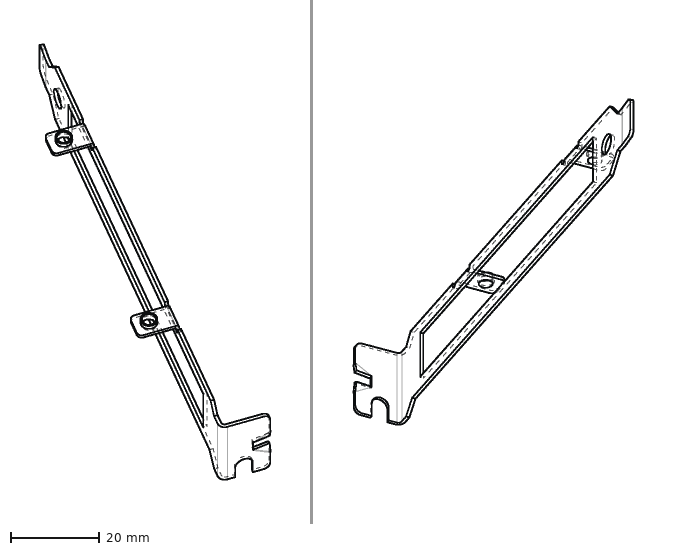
import cadquery as cq
import math

overall_length = 120.9
overall_height = 22.7
sheet = 0.87
mid_height = 12.5

body_height = 18.5
body_bottom = mid_height - body_height / 2
body_top = mid_height + body_height / 2
neck_end = 7.5
shoulder_end = 11.4

tongue_height = 9.9
tongue_length = 5.2
tongue_tilt = 4.0
tongue_bend_radius = 3.6
tongue_corner = 1.3

screw_hole_diameter = 4.7
screw_hole_x = 13.0
window_start = 20.1
window_end = 109.6
window_height = 12.0

flange_height = 18.9
flange_depth = 12.1
flange_corner = 1.7
bend_outer_radius = 1.7
bend_inner_radius = bend_outer_radius - sheet
flange_taper_end = 116.9
lower_taper_start = 113.7
upper_taper_start = 114.6
screw_slot_width = 4.2
screw_slot_y = 5.8
screw_slot_height = 5.5

notch_root = 8.0
notch_z = 9.3
notch_half_width = 1.5
lip_crease_rise = 2.4
lip_angle = 15.0

tab_centers = (31.9, 88.4)
tab_width = 6.2
tab_reach = 9.0
tab_corner = 1.2
relief_width = 1.2
relief_depth = 1.3
boss_y = -5.3
boss_diameter = 3.9
boss_hole_diameter = 3.1
boss_height = overall_height - body_top


def box(x_range, y_range, z_range):
    """Box spanning the given (low, high) pairs."""
    (x0, x1), (y0, y1), (z0, z1) = x_range, y_range, z_range
    return cq.Workplane("XY").box(x1 - x0, y1 - y0, z1 - z0, centered=False).translate((x0, y0, z0))


def make_plate():
    """Flat plate with its shoulders and end tapers, up to the flange bend."""
    half_neck = tongue_height / 2
    outline = [
        (tongue_length, mid_height - half_neck),
        (neck_end, mid_height - half_neck),
        (shoulder_end, body_bottom),
        (lower_taper_start, body_bottom),
        (flange_taper_end, 0),
        (overall_length - bend_outer_radius, 0),
        (overall_length - bend_outer_radius, flange_height),
        (flange_taper_end, flange_height),
        (upper_taper_start, body_top),
        (shoulder_end, body_top),
        (neck_end, mid_height + half_neck),
        (tongue_length, mid_height + half_neck),
    ]
    plate = cq.Workplane("XZ").polyline(outline).close().extrude(-sheet)
    window = box(
        (window_start, window_end),
        (0, sheet),
        (mid_height - window_height / 2, mid_height + window_height / 2),
    )
    hole = (
        cq.Workplane("XZ")
        .center(screw_hole_x, mid_height)
        .circle(screw_hole_diameter / 2)
        .extrude(-sheet)
    )
    return plate.cut(window).cut(hole)


def make_tongue():
    """Tongue that leaves the plate through a gentle bend and ends at X = 0."""
    tilt = math.radians(tongue_tilt)
    center_y = tongue_bend_radius + sheet

    def bend_point(radius, angle):
        return (tongue_length - radius * math.sin(angle), center_y - radius * math.cos(angle))

    outer = center_y
    inner = tongue_bend_radius
    outer_end = bend_point(outer, tilt)
    inner_end = bend_point(inner, tilt)
    straight = outer_end[0] / math.cos(tilt)
    step = (-straight * math.cos(tilt), straight * math.sin(tilt))
    profile = (
        cq.Workplane("XY")
        .moveTo(tongue_length, 0)
        .threePointArc(bend_point(outer, tilt / 2), outer_end)
        .lineTo(outer_end[0] + step[0], outer_end[1] + step[1])
        .lineTo(inner_end[0] + step[0], inner_end[1] + step[1])
        .lineTo(*inner_end)
        .threePointArc(bend_point(inner, tilt / 2), (tongue_length, sheet))
        .close()
    )
    tongue = profile.extrude(tongue_height).translate((0, 0, mid_height - tongue_height / 2))
    return tongue.faces("<X").edges("<Z or >Z").fillet(tongue_corner)


def make_flange():
    """Bend and flange at the end of the plate, with its screw slot and edge notch."""
    bend_x = overall_length - bend_outer_radius
    diagonal = math.sqrt(0.5)
    blank = (
        cq.Workplane("XY")
        .moveTo(bend_x, 0)
        .threePointArc(
            (bend_x + bend_outer_radius * diagonal, bend_outer_radius * (1 - diagonal)),
            (overall_length, bend_outer_radius),
        )
        .lineTo(overall_length, flange_depth)
        .lineTo(overall_length - sheet, flange_depth)
        .lineTo(overall_length - sheet, bend_outer_radius)
        .threePointArc(
            (bend_x + bend_inner_radius * diagonal, bend_outer_radius - bend_inner_radius * diagonal),
            (bend_x, sheet),
        )
        .close()
        .extrude(flange_height)
    )
    blank = blank.faces(">Y").edges("<Z or >Z").fillet(flange_corner)
    face_x = (overall_length - sheet, overall_length)
    slot_radius = screw_slot_width / 2
    slot_arc_z = screw_slot_height - slot_radius
    slot = box(face_x, (screw_slot_y - slot_radius, screw_slot_y + slot_radius), (0, slot_arc_z))
    slot_end = (
        cq.Workplane("YZ", origin=(face_x[0], 0, 0))
        .center(screw_slot_y, slot_arc_z)
        .circle(slot_radius)
        .extrude(sheet)
    )
    crease_end = notch_half_width + lip_crease_rise
    notch = (
        cq.Workplane("YZ", origin=(face_x[0], 0, notch_z))
        .polyline(
            [
                (notch_root, -notch_half_width),
                (notch_root, notch_half_width),
                (flange_depth, crease_end),
                (flange_depth, -crease_end),
            ]
        )
        .close()
        .extrude(sheet)
    )
    flange = blank.cut(slot).cut(slot_end).cut(notch)
    upper_lip = make_upper_lip()
    lower_lip = upper_lip.mirror("XY", (0, 0, notch_z))
    return flange.union(upper_lip).union(lower_lip)


def make_upper_lip():
    """Triangular lip above the notch, bent about its slanted crease towards -X."""
    root_z = notch_z + notch_half_width
    inner_x = overall_length - sheet
    crease_start = cq.Vector(inner_x, notch_root, root_z)
    crease_end = cq.Vector(inner_x, flange_depth, root_z + lip_crease_rise)
    lip = (
        cq.Workplane("YZ", origin=(inner_x, 0, 0))
        .polyline([(notch_root, root_z), (flange_depth, crease_end.z), (flange_depth, root_z)])
        .close()
        .extrude(sheet)
        .rotate(crease_start, crease_end, lip_angle)
    )
    crease = crease_end - crease_start
    crease_plane = cq.Plane(crease_start, xDir=crease, normal=crease.cross(cq.Vector(1, 0, 0)) * -1)
    bend = (
        cq.Workplane(crease_plane)
        .polyline([(0, 0), (crease.Length, 0), (crease.Length, -sheet), (0, -sheet)])
        .close()
        .revolve(lip_angle, (0, 0), (1, 0))
    )
    return lip.union(bend)


def make_tab(center_x):
    """Tab folded forward from the top edge over a rounded bend, carrying a raised ring."""
    underside = body_top - sheet
    diagonal = sheet * math.sqrt(0.5)
    tab = (
        cq.Workplane("YZ", origin=(center_x - tab_width / 2, 0, 0))
        .moveTo(-tab_reach, underside)
        .lineTo(sheet, underside)
        .threePointArc((diagonal, underside + diagonal), (0, body_top))
        .lineTo(-tab_reach, body_top)
        .close()
        .extrude(tab_width)
    )
    tab = tab.faces("<Y").edges("|Z").fillet(tab_corner)
    boss = (
        cq.Workplane("XY", origin=(center_x, boss_y, body_top))
        .circle(boss_diameter / 2)
        .extrude(boss_height)
    )
    return tab.union(boss)


def make_tab_hole(center_x):
    """Hole through the ring and its tab."""
    return (
        cq.Workplane("XY", origin=(center_x, boss_y, body_top - sheet))
        .circle(boss_hole_diameter / 2)
        .extrude(sheet + boss_height)
    )


def make_tab_gap(center_x):
    """Opening in the plate's top edge for one tab, with a round-bottomed relief on each side."""
    half_tab = tab_width / 2
    gap = box((center_x - half_tab, center_x + half_tab), (0, sheet), (body_top - sheet, body_top))
    radius = relief_width / 2
    arc_z = body_top - relief_depth + radius
    for side in (-1, 1):
        x = center_x + side * (half_tab + radius)
        round_end = cq.Workplane("XZ").center(x, arc_z).circle(radius).extrude(-sheet)
        gap = gap.union(box((x - radius, x + radius), (0, sheet), (arc_z, body_top))).union(round_end)
    return gap


result = make_plate().union(make_tongue()).union(make_flange())
for tab_x in tab_centers:
    result = result.cut(make_tab_gap(tab_x))
    result = result.union(make_tab(tab_x)).cut(make_tab_hole(tab_x))